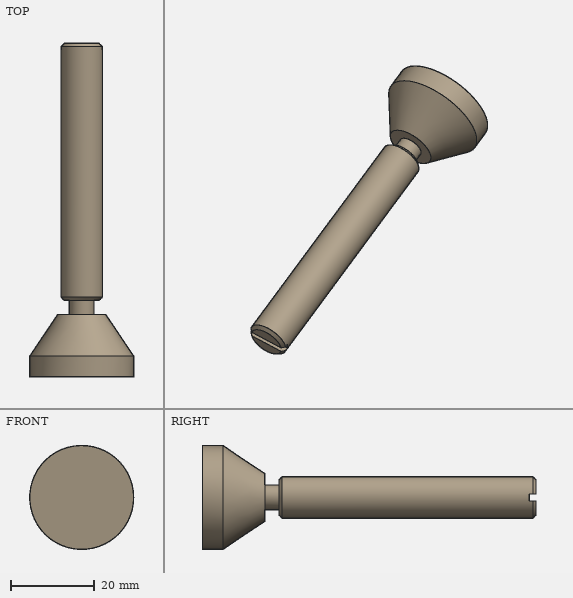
import cadquery as cq

total_length = 80.0
pad_diameter = 25.0
rim_thickness = 5.0
pad_height = 15.0
cone_top_diameter = 11.5
neck_diameter = 6.0
neck_length = 3.4
rod_diameter = 10.0
rod_chamfer = 0.8
slot_width = 1.6
slot_depth = 1.6

rod_start = pad_height + neck_length


def disc(diameter, start, length):
    """Cylinder along +Y, beginning at the given Y position."""
    plane = cq.Workplane("XZ", origin=(0, start, 0))
    return plane.circle(diameter / 2).extrude(-length)


def make_pad():
    """Flat round foot with a conical back."""
    pad_radius = pad_diameter / 2
    profile = [
        (0, 0),
        (pad_radius, 0),
        (pad_radius, rim_thickness),
        (cone_top_diameter / 2, pad_height),
        (0, pad_height),
    ]
    return cq.Workplane("XY").polyline(profile).close().revolve(360, (0, 0, 0), (0, 1, 0))


def make_rod():
    """Rod chamfered at both ends, with a screwdriver slot across its free end."""
    rod = disc(rod_diameter, rod_start, total_length - rod_start)
    rod = rod.faces("<Y or >Y").chamfer(rod_chamfer)
    slot = (
        cq.Workplane("XY")
        .box(rod_diameter, slot_depth, slot_width)
        .translate((0, total_length - slot_depth / 2, 0))
    )
    return rod.cut(slot)


neck = disc(neck_diameter, pad_height, neck_length)
result = make_pad().union(neck).union(make_rod())